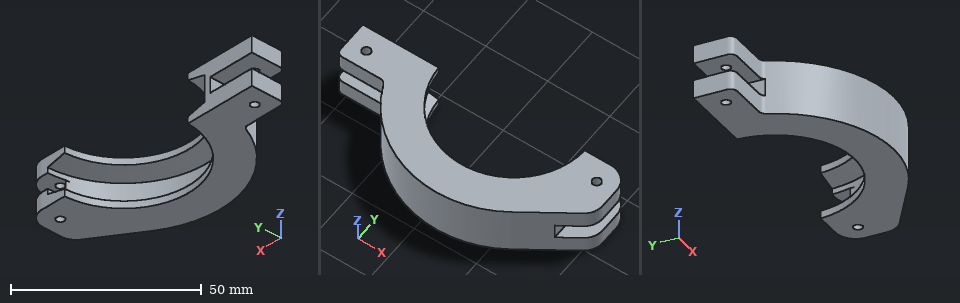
import cadquery as cq
import math

bore_radius = 23.5
outer_radius = 34.95
height = 16.0

split_y = -0.95
left_x = -48.05
right_x = left_x + 86.1
tab_bottom_y = split_y - 12.0
tab_round = 2.0
lug_round = 6.0

tangent_angle = math.radians(34.3)
tangent_x = outer_radius * math.sin(tangent_angle)
tangent_y = -outer_radius * math.cos(tangent_angle)


def flat_y(x):
    """Y of the tangent flat at a given X."""
    return tangent_y + (x - tangent_x) * math.tan(tangent_angle)


hole_diameter = 2.7
hole_y = split_y - 6.6
left_hole_x = -42.1
right_hole_x = 32.1

slot_height = 5.0
left_slot_end_x = -32.1
right_slot_end_x = 29.2
cut_margin = 4.3

groove_radius = 30.0
groove_mouth_height = 11.4
groove_taper = math.radians(13)


def clamp_body():
    tab_root_x = -math.sqrt(outer_radius**2 - tab_bottom_y**2)
    bore_edge_x = math.sqrt(bore_radius**2 - split_y**2)
    body = (
        cq.Workplane("XY")
        .moveTo(left_x, split_y)
        .lineTo(left_x, tab_bottom_y)
        .lineTo(tab_root_x, tab_bottom_y)
        .threePointArc((0, -outer_radius), (tangent_x, tangent_y))
        .lineTo(right_x, flat_y(right_x))
        .lineTo(right_x, split_y)
        .lineTo(bore_edge_x, split_y)
        .threePointArc((0, -bore_radius), (-bore_edge_x, split_y))
        .close()
        .extrude(height)
    )

    def upright_edge(x, y):
        return cq.selectors.NearestToPointSelector((x, y, height / 2))

    body = body.edges(upright_edge(left_x, tab_bottom_y)).fillet(tab_round)
    body = body.edges(upright_edge(tab_root_x, tab_bottom_y)).fillet(tab_round)
    body = body.edges(upright_edge(right_x, flat_y(right_x))).fillet(lug_round)
    return body.edges(upright_edge(right_x, split_y)).fillet(lug_round)


def slot(end_x, side_x):
    """Slot at mid height, open past one side of the part and ending on a flat wall."""
    open_x = side_x + math.copysign(cut_margin, side_x)
    slot_floor = (height - slot_height) / 2
    return (
        cq.Workplane("XY")
        .workplane(offset=slot_floor)
        .moveTo(end_x, -outer_radius)
        .lineTo(open_x, -outer_radius)
        .lineTo(open_x, split_y)
        .lineTo(end_x, split_y)
        .close()
        .extrude(slot_height)
    )


def bore_groove():
    """Trapezoid revolved about the ring axis, with its mouth open to the bore."""
    mouth_half = groove_mouth_height / 2
    floor_half = mouth_half - (groove_radius - bore_radius) * math.tan(groove_taper)
    middle = height / 2
    return (
        cq.Workplane("XZ")
        .moveTo(0, middle - mouth_half)
        .lineTo(bore_radius, middle - mouth_half)
        .lineTo(groove_radius, middle - floor_half)
        .lineTo(groove_radius, middle + floor_half)
        .lineTo(bore_radius, middle + mouth_half)
        .lineTo(0, middle + mouth_half)
        .close()
        .revolve(360, (0, 0), (0, 1))
    )


def pivot_holes():
    centres = [(left_hole_x, hole_y), (right_hole_x, hole_y)]
    return cq.Workplane("XY").pushPoints(centres).circle(hole_diameter / 2).extrude(height)


body = clamp_body().cut(bore_groove())
body = body.cut(slot(left_slot_end_x, left_x)).cut(slot(right_slot_end_x, right_x))
result = body.cut(pivot_holes())